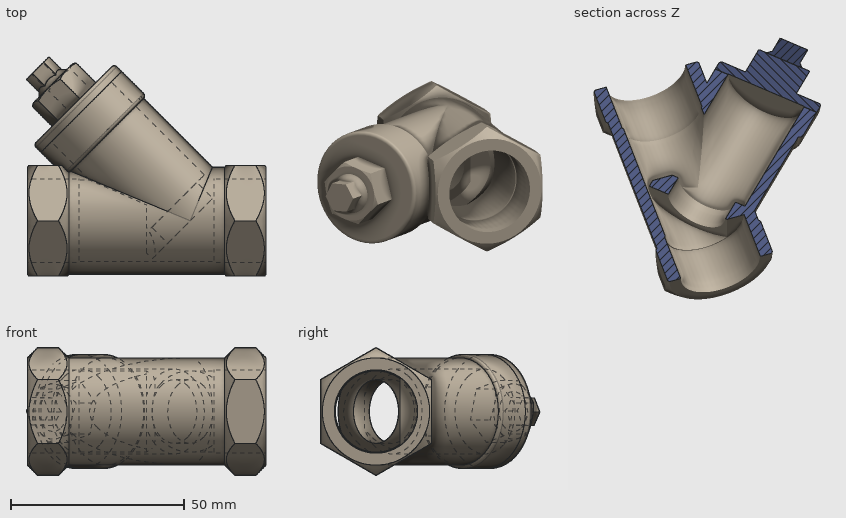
import cadquery as cq
import math

RUN_LENGTH = 69.0
RUN_RADIUS = 15.5
RUN_BORE_RADIUS = 11.75
END_HEX_FLATS = 32.0
END_HEX_LENGTH = 12.0
THREAD_RADIUS = 12.05
THREAD_DEPTH = 15.0

BRANCH_CROSSING_X = 12.58
BRANCH_ANGLE = math.radians(135)
BRANCH_RADIUS = RUN_RADIUS
BRANCH_LENGTH = 44.5
BRANCH_BORE_RADIUS = 12.25
SEAT_DISTANCE = 6.5
SEAT_HOLE_RADIUS = 9.2

COLLAR_RADIUS = 16.5
COLLAR_LENGTH = 10.0
RIM_FILLET = 1.0

FLANGE_THICKNESS = 3.0
BONNET_HEX_FLATS = 16.0
BONNET_HEX_HEIGHT = 8.6
BONNET_CHAMFER_HEIGHT = 0.6
BONNET_HEX_TURN = -15.0

SPINDLE_CONE_RADIUS = 5.75
SPINDLE_HEX_FLATS = 8.0
SPINDLE_LENGTH = 6.23
SPINDLE_HEX_TURN = 2.0

HEX_CORNER_RATIO = 1 / math.cos(math.radians(30))


def branch_plane(distance):
    """Plane square to the branch axis; local X lies in the XY plane and local Y is +Z."""
    direction = cq.Vector(math.cos(BRANCH_ANGLE), math.sin(BRANCH_ANGLE), 0)
    origin = cq.Vector(BRANCH_CROSSING_X, 0, 0) + direction * distance
    return cq.Plane(origin=origin, xDir=direction.cross(cq.Vector(0, 0, -1)), normal=direction)


def run_plane(x):
    """Plane square to the run axis; local X is +Y and local Y is +Z."""
    return cq.Plane(origin=(x, 0, 0), xDir=(0, 1, 0), normal=(1, 0, 0))


def cylinder(plane, radius, length):
    return cq.Workplane(plane).circle(radius).extrude(length)


def turned(plane, profile):
    """Solid of revolution about the normal of a plane, from (radius, height) points."""
    side_plane = cq.Plane(origin=plane.origin, xDir=plane.xDir, normal=-plane.yDir)
    return cq.Workplane(side_plane).polyline(profile).close().revolve(360, (0, 0), (0, 1))


def hex_prism(plane, flats, length, turn):
    """Hexagonal prism with one corner turned by this many degrees from local X."""
    return (
        cq.Workplane(plane)
        .transformed(rotate=(0, 0, turn))
        .polygon(6, flats * HEX_CORNER_RATIO)
        .extrude(length)
    )


def end_hex(x_start):
    """Wrench hexagon on a run end, its corners turned off at 45 degrees on both faces."""
    prism = hex_prism(run_plane(x_start), END_HEX_FLATS, END_HEX_LENGTH, 90)
    corner_radius = END_HEX_FLATS * HEX_CORNER_RATIO / 2
    chamfer = corner_radius - RUN_RADIUS
    blank = cylinder(run_plane(x_start), corner_radius, END_HEX_LENGTH).edges().chamfer(chamfer)
    return prism.intersect(blank)


def fillet_rim(disc, outer_end):
    """Round the edge of a branch disc, at its end away from the run or at the one towards it."""
    end = cq.selectors.DirectionMinMaxSelector(branch_plane(0).zDir, outer_end)
    return disc.faces(end).edges().fillet(RIM_FILLET)


def make_body():
    run_start = -RUN_LENGTH / 2
    run_end = RUN_LENGTH / 2
    run = cylinder(run_plane(run_start), RUN_RADIUS, RUN_LENGTH)
    for x_start in (run_start, run_end - END_HEX_LENGTH):
        run = run.union(end_hex(x_start))
    run = run.cut(cylinder(run_plane(run_start), RUN_BORE_RADIUS, RUN_LENGTH))

    branch = cylinder(branch_plane(0), BRANCH_RADIUS, BRANCH_LENGTH)
    collar = cylinder(branch_plane(BRANCH_LENGTH - COLLAR_LENGTH), COLLAR_RADIUS, COLLAR_LENGTH)
    collar = fillet_rim(collar, outer_end=False)
    body = run.union(branch).union(collar)

    body = body.cut(cylinder(run_plane(run_start), RUN_BORE_RADIUS, RUN_LENGTH / 2))
    for x_start in (run_start, run_end - THREAD_DEPTH):
        body = body.cut(cylinder(run_plane(x_start), THREAD_RADIUS, THREAD_DEPTH))

    bore_length = BRANCH_LENGTH - SEAT_DISTANCE
    body = body.cut(cylinder(branch_plane(SEAT_DISTANCE), BRANCH_BORE_RADIUS, bore_length))
    return body.cut(cylinder(branch_plane(0), SEAT_HOLE_RADIUS, BRANCH_LENGTH))


def make_bonnet():
    flange = cylinder(branch_plane(BRANCH_LENGTH), COLLAR_RADIUS, FLANGE_THICKNESS)
    flange = fillet_rim(flange, outer_end=True)

    hex_plane = branch_plane(BRANCH_LENGTH + FLANGE_THICKNESS)
    prism = hex_prism(hex_plane, BONNET_HEX_FLATS, BONNET_HEX_HEIGHT, BONNET_HEX_TURN)
    flat_radius = BONNET_HEX_FLATS / 2
    corner_radius = flat_radius * HEX_CORNER_RATIO
    blank = turned(
        hex_plane,
        [
            (0, 0),
            (corner_radius, 0),
            (corner_radius, BONNET_HEX_HEIGHT - BONNET_CHAMFER_HEIGHT),
            (flat_radius, BONNET_HEX_HEIGHT),
            (0, BONNET_HEX_HEIGHT),
        ],
    )
    return flange.union(prism.intersect(blank))


def make_spindle():
    base = branch_plane(BRANCH_LENGTH + FLANGE_THICKNESS + BONNET_HEX_HEIGHT)
    key = hex_prism(base, SPINDLE_HEX_FLATS, SPINDLE_LENGTH, SPINDLE_HEX_TURN)
    tip_radius = SPINDLE_HEX_FLATS / 2
    cone_height = SPINDLE_CONE_RADIUS - tip_radius
    cone = turned(
        base,
        [(0, 0), (SPINDLE_CONE_RADIUS, 0), (tip_radius, cone_height), (0, cone_height)],
    )
    return key.union(cone)


body = make_body()
bonnet = make_bonnet()
spindle = make_spindle()
result = cq.Compound.makeCompound([body.val(), bonnet.val(), spindle.val()])